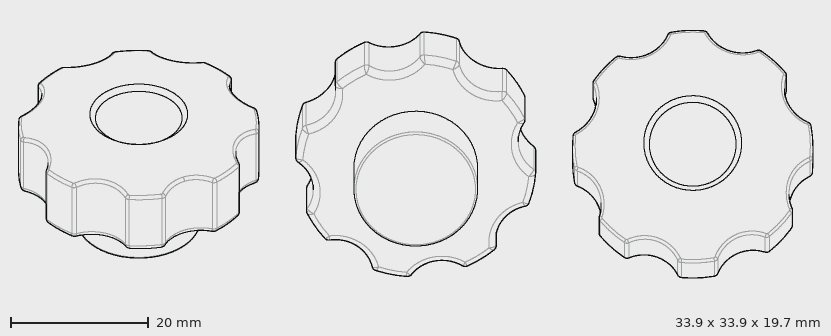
import cadquery as cq
import math

total_height = 19.68
head_bottom = 8.03

lobe_count = 8
lobe_radius = 17.48
scallop_radius = 5.5
scallop_floor_radius = 15.25
scallop_center_radius = scallop_floor_radius + scallop_radius
corner_fillet = 0.68
top_fillet = 0.5
bottom_fillet = 1.0

recess_rim_radius = 7.1
recess_floor_radius = 6.3
recess_depth = 0.7

crown_radius = 74.85
crown_center_height = total_height - math.sqrt(crown_radius**2 - recess_rim_radius**2)
crown_apex_height = crown_center_height + crown_radius

hub_radius = 18.0 / 2
hub_fillet = 0.3


def make_head():
    """Scalloped prism with a spherical crown and rounded edges."""
    height = crown_apex_height - head_bottom
    base = cq.Workplane("XY").workplane(offset=head_bottom)
    scallops = (
        base.polarArray(scallop_center_radius, 0, 360, lobe_count)
        .circle(scallop_radius)
        .extrude(height)
    )
    head = base.circle(lobe_radius).extrude(height).cut(scallops)
    head = head.edges("|Z").fillet(corner_fillet)

    crown = cq.Workplane("XY").sphere(crown_radius).translate((0, 0, crown_center_height))
    head = head.intersect(crown)
    head = head.faces(">Z").edges().fillet(top_fillet)
    return head.faces("<Z").edges().fillet(bottom_fillet)


def make_hub():
    """Plain round hub with a rounded bottom edge."""
    hub = cq.Workplane("XY").circle(hub_radius).extrude(head_bottom)
    return hub.faces("<Z").edges().fillet(hub_fillet)


def make_recess():
    """Cone frustum of the recess, carried on above the crown for a clean cut."""
    wall_run = recess_rim_radius - recess_floor_radius
    wall_angle = math.degrees(math.atan2(wall_run, recess_depth))
    cutter_height = 2 * recess_depth
    return (
        cq.Workplane("XY")
        .workplane(offset=total_height - recess_depth)
        .circle(recess_floor_radius)
        .extrude(cutter_height, taper=-wall_angle)
    )


result = make_head().union(make_hub()).cut(make_recess())